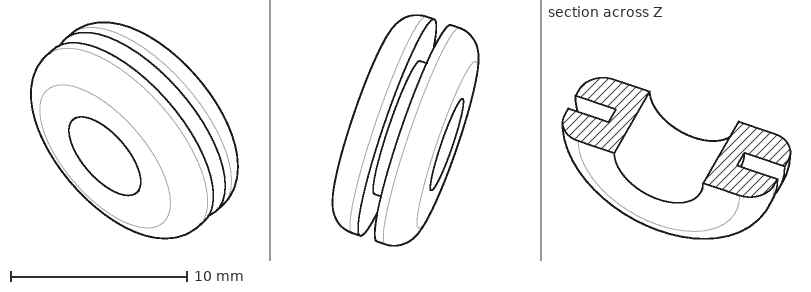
import cadquery as cq

outer_diameter = 13.0
total_width = 5.0
groove_width = 1.0
groove_diameter = 8.0
bore_diameter = 5.5
rim_radius = 1.5

flange_width = (total_width - groove_width) / 2


def disc(diameter, width, start_y):
    """Solid disc about the Y axis, extending toward +Y from start_y."""
    return (
        cq.Workplane("XZ", origin=(0, start_y, 0))
        .circle(diameter / 2)
        .extrude(-width)
    )


front_flange = disc(outer_diameter, flange_width, -total_width / 2)
front_flange = front_flange.faces("<Y").edges().fillet(rim_radius)
back_flange = front_flange.mirror("XZ")

core = disc(groove_diameter, total_width, -total_width / 2)

bore = disc(bore_diameter, total_width, -total_width / 2)

result = front_flange.union(core).union(back_flange).cut(bore)